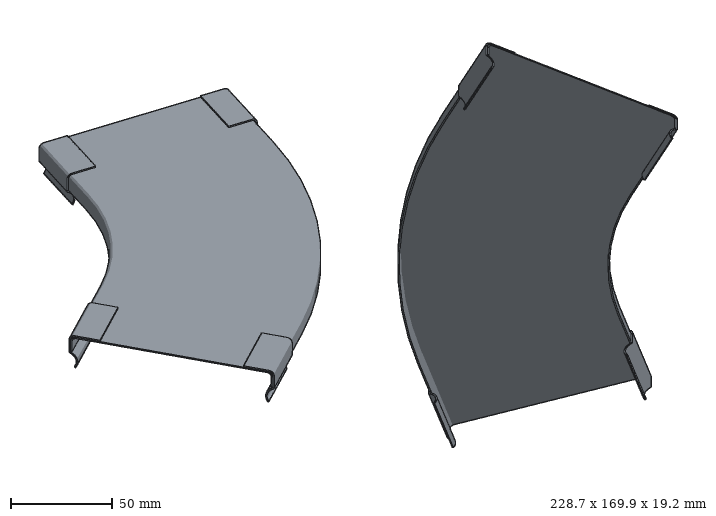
import cadquery as cq
import math

BEND_ANGLE = 45.0
STRAIGHT_LENGTH = 49.0
COVER_INNER_RADIUS = 99.7
COVER_WIDTH = 104.7
COVER_THICKNESS = 0.8
COVER_BOTTOM = -9.8
COVER_CORNER_RADIUS = 3.0

CLIP_THICKNESS = 0.8
CLIP_LENGTH = 30.0
CLIP_LEG = 16.0
CLIP_BOTTOM = -19.2
CLIP_CORNER_RADIUS = COVER_CORNER_RADIUS
LEDGE_RADIUS = 1.4
LEDGE_ANGLE = 65.0
SPRING_DEPTH = 4.1

COVER_TOP = -CLIP_THICKNESS
COVER_OUTER_RADIUS = COVER_INNER_RADIUS + COVER_WIDTH


def polar(center, radius, angle):
    """Point at an angle in degrees around a center."""
    turn = math.radians(angle)
    return (center[0] + radius * math.cos(turn), center[1] + radius * math.sin(turn))


def channel_section():
    """Inverted U section of the cover, in the YZ plane."""
    inner = COVER_INNER_RADIUS
    outer = COVER_OUTER_RADIUS
    ceiling = COVER_TOP - COVER_THICKNESS
    bend_height = COVER_TOP - COVER_CORNER_RADIUS
    inner_bend = (inner + COVER_CORNER_RADIUS, bend_height)
    outer_bend = (outer - COVER_CORNER_RADIUS, bend_height)
    inside_radius = COVER_CORNER_RADIUS - COVER_THICKNESS
    return (
        cq.Workplane("YZ")
        .moveTo(inner, COVER_BOTTOM)
        .lineTo(inner, bend_height)
        .threePointArc(polar(inner_bend, COVER_CORNER_RADIUS, 135), (inner_bend[0], COVER_TOP))
        .lineTo(outer_bend[0], COVER_TOP)
        .threePointArc(polar(outer_bend, COVER_CORNER_RADIUS, 45), (outer, bend_height))
        .lineTo(outer, COVER_BOTTOM)
        .lineTo(outer - COVER_THICKNESS, COVER_BOTTOM)
        .lineTo(outer - COVER_THICKNESS, bend_height)
        .threePointArc(polar(outer_bend, inside_radius, 45), (outer_bend[0], ceiling))
        .lineTo(inner_bend[0], ceiling)
        .threePointArc(polar(inner_bend, inside_radius, 135), (inner + COVER_THICKNESS, bend_height))
        .lineTo(inner + COVER_THICKNESS, COVER_BOTTOM)
        .close()
    )


def make_cover():
    """Straight channel, 45 degree bend and a second straight channel."""
    start = channel_section().extrude(-STRAIGHT_LENGTH)
    bend = channel_section().revolve(BEND_ANGLE, (0, 0, 0), (0, -1, 0))
    end = channel_section().extrude(STRAIGHT_LENGTH).rotate((0, 0, 0), (0, 0, 1), -BEND_ANGLE)
    return start.union(bend).union(end)


def clip_outline():
    """Clip section: X is the depth inward from the wall's outside face, Y is height."""
    half = CLIP_THICKNESS / 2
    ledge_center = (LEDGE_RADIUS, COVER_BOTTOM)
    ledge_mid_radius = LEDGE_RADIUS - half
    ledge_end = 180 + LEDGE_ANGLE
    ledge_half = 180 + LEDGE_ANGLE / 2

    join = polar(ledge_center, ledge_mid_radius, ledge_end)
    spring_mid_radius = (SPRING_DEPTH - join[0]) / (1 - math.cos(math.radians(LEDGE_ANGLE)))
    spring_center = polar(join, spring_mid_radius, ledge_end)

    def spring_point(offset, angle):
        return polar(spring_center, spring_mid_radius + offset, angle)

    drop = spring_center[1] - CLIP_BOTTOM
    spring_end = -math.degrees(math.asin(drop / (spring_mid_radius + half)))

    corner_center = (CLIP_CORNER_RADIUS, -CLIP_CORNER_RADIUS)
    inner_corner = CLIP_CORNER_RADIUS - CLIP_THICKNESS
    inner_ledge = LEDGE_RADIUS - CLIP_THICKNESS
    return (
        cq.Workplane("YZ")
        .moveTo(CLIP_LEG, 0)
        .lineTo(CLIP_CORNER_RADIUS, 0)
        .threePointArc(polar(corner_center, CLIP_CORNER_RADIUS, 135), (0, -CLIP_CORNER_RADIUS))
        .lineTo(0, COVER_BOTTOM)
        .threePointArc(
            polar(ledge_center, LEDGE_RADIUS, ledge_half),
            polar(ledge_center, LEDGE_RADIUS, ledge_end),
        )
        .threePointArc(spring_point(-half, 0), spring_point(-half, spring_end))
        .lineTo(*spring_point(half, spring_end))
        .threePointArc(spring_point(half, 0), polar(ledge_center, inner_ledge, ledge_end))
        .threePointArc(polar(ledge_center, inner_ledge, ledge_half), (CLIP_THICKNESS, COVER_BOTTOM))
        .lineTo(CLIP_THICKNESS, -CLIP_CORNER_RADIUS)
        .threePointArc(polar(corner_center, inner_corner, 135), (CLIP_CORNER_RADIUS, -CLIP_THICKNESS))
        .lineTo(CLIP_LEG, -CLIP_THICKNESS)
        .close()
    )


def make_clip(on_outer_wall, at_start):
    """One clip, wrapped over a side wall and flush with an end of the cover."""
    clip = clip_outline().extrude(CLIP_LENGTH)
    if on_outer_wall:
        clip = clip.mirror("XZ").translate((0, COVER_OUTER_RADIUS + CLIP_THICKNESS, 0))
    else:
        clip = clip.translate((0, COVER_INNER_RADIUS - CLIP_THICKNESS, 0))
    if at_start:
        return clip.translate((-STRAIGHT_LENGTH, 0, 0))
    clip = clip.translate((STRAIGHT_LENGTH - CLIP_LENGTH, 0, 0))
    return clip.rotate((0, 0, 0), (0, 0, 1), -BEND_ANGLE)


cover = make_cover()
clips = [
    make_clip(on_outer_wall, at_start)
    for on_outer_wall in (True, False)
    for at_start in (True, False)
]

result = cq.Compound.makeCompound([cover.val(), *[clip.val() for clip in clips]])